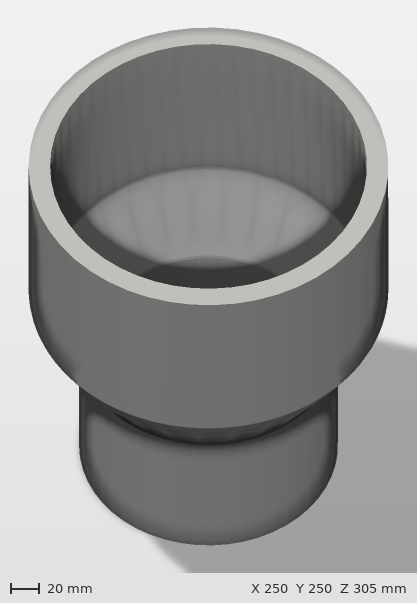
import cadquery as cq

total_height = 305.0
small_length = 109.8
large_length = 134.8
large_outer_radius = 125.0
small_outer_radius = 90.0
large_wall = 15.0
small_wall = 10.7

outer_bend_radius = 3.0
inner_bend_radius = 5.0

cone_bottom = small_length
cone_top = total_height - large_length
large_inner_radius = large_outer_radius - large_wall
small_inner_radius = small_outer_radius - small_wall


def bend_edge(body, height, bend_radius):
    """Circular edges of a body lying at the given height."""
    half_band = bend_radius / 2
    reach = 2 * large_outer_radius
    band = cq.selectors.BoxSelector(
        (-reach, -reach, height - half_band),
        (reach, reach, height + half_band),
        boundingbox=True,
    )
    return body.edges(band)


def stepped_body(small_radius, large_radius, bend_radius):
    """Solid of revolution: small cylinder, cone and large cylinder, with rounded bends."""
    body = (
        cq.Workplane("XZ")
        .moveTo(0, 0)
        .lineTo(small_radius, 0)
        .lineTo(small_radius, cone_bottom)
        .lineTo(large_radius, cone_top)
        .lineTo(large_radius, total_height)
        .lineTo(0, total_height)
        .close()
        .revolve(360, (0, 0, 0), (0, 1, 0))
    )
    for height in (cone_bottom, cone_top):
        body = bend_edge(body, height, bend_radius).fillet(bend_radius)
    return body


outer_body = stepped_body(small_outer_radius, large_outer_radius, outer_bend_radius)
bore = stepped_body(small_inner_radius, large_inner_radius, inner_bend_radius)

result = outer_body.cut(bore)